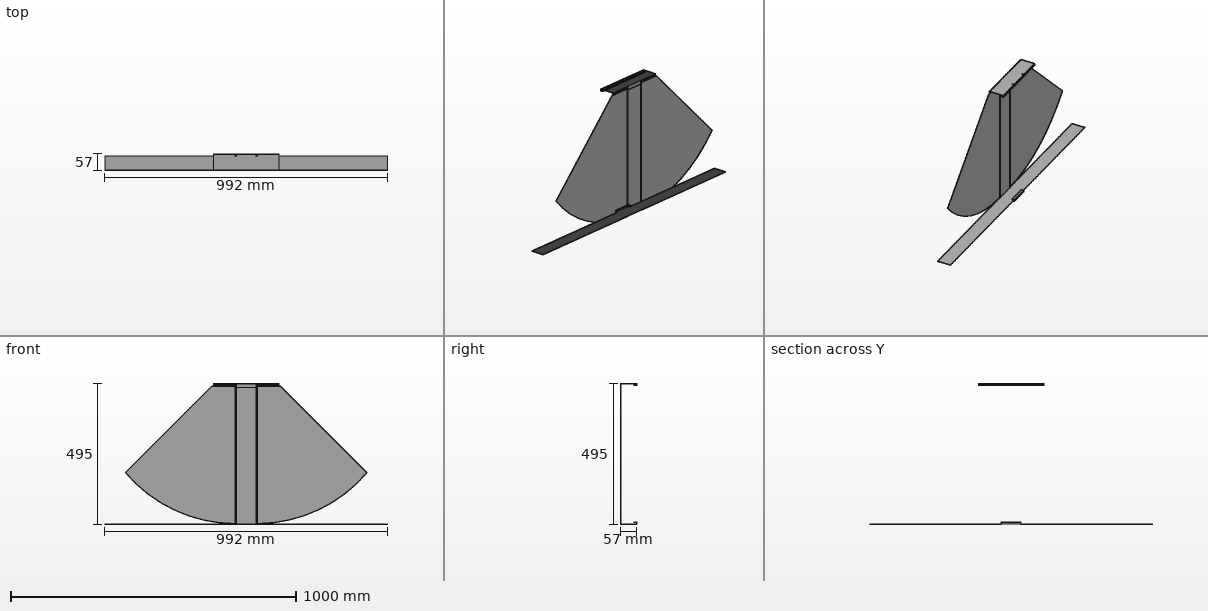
import cadquery as cq
import math

height = 495.0
sheet = 1.7
bend_radius = 2.3
depth = 57.0

hook_height = 8.0
hook_return = 10.0
rim_notch_depth = 7.0

top_flange_width = 231.0
skirt_height = 6.0
slot_height = 4.0
fan_top = height - skirt_height - slot_height
fan_bottom = 2.2
fan_radius = 505.0
fan_half_width = 424.0
side_angle = 45.0
bridge_width = 4.0

strip_width = 70.0
slit_width = 3.0
strip_top = 480.0
base_length = 992.0
base_depth = 51.0

slit_outer = strip_width / 2 + slit_width
bridge_outer = slit_outer + bridge_width


def block(x_min, x_max, y_min, y_max, z_min, z_max):
    """A box given by its limits along each axis."""
    size = (x_max - x_min, y_max - y_min, z_max - z_min)
    return cq.Workplane("XY").box(*size, centered=False).translate((x_min, y_min, z_min))


def hooked_flange(width):
    """Flange on the floor with an upright rim at the back that returns forwards."""
    half = width / 2
    flange = block(-half, half, 0, depth, 0, sheet)
    rim = block(-half, half, depth - sheet, depth, 0, hook_height)
    lip = block(-half, half, depth - hook_return, depth, hook_height - sheet, hook_height)
    return flange.union(rim).union(lip)


def fan_half():
    """Right half of the fan, from the slit out to the sloping side."""
    arc_centre_z = fan_bottom + fan_radius
    corner_angle = math.asin((fan_half_width - slit_outer) / fan_radius)
    middle_angle = corner_angle / 2

    def arc_point(angle):
        return (
            slit_outer + fan_radius * math.sin(angle),
            arc_centre_z - fan_radius * math.cos(angle),
        )

    corner = arc_point(corner_angle)
    side_run = (fan_top - corner[1]) / math.tan(math.radians(side_angle))
    return (
        cq.Workplane("XZ")
        .moveTo(slit_outer, fan_top)
        .lineTo(corner[0] - side_run, fan_top)
        .lineTo(*corner)
        .threePointArc(arc_point(middle_angle), (slit_outer, fan_bottom))
        .close()
        .extrude(-sheet)
    )


def make_fan_panel():
    """Top flange with its hooked rim, skirt and tab, and the two halves of the fan."""
    half = top_flange_width / 2
    half_strip = strip_width / 2
    skirt_bottom = height - skirt_height
    panel = hooked_flange(top_flange_width).mirror("XY").translate((0, 0, height))
    panel = panel.union(block(-half, half, 0, sheet, skirt_bottom, height))
    panel = panel.union(block(-half_strip, half_strip, 0, sheet, strip_top, height))

    right_fan = fan_half()
    right_fan = right_fan.union(block(slit_outer, bridge_outer, 0, sheet, fan_top - sheet, height))
    right_fan = right_fan.union(block(slit_outer, bridge_outer, 0, sheet, sheet, fan_bottom + sheet))
    panel = panel.union(right_fan).union(right_fan.mirror("YZ"))

    panel = panel.edges("|X and >Z").fillet(bend_radius)
    slit = block(half_strip, slit_outer, 0, bend_radius, 0, height)
    notch = block(half_strip, slit_outer, depth - rim_notch_depth, depth, 0, height)
    for cut in (slit, notch):
        panel = panel.cut(cut).cut(cut.mirror("YZ"))
    return panel


def make_base():
    """Upright middle strip with its bent foot and hooked rim, and a long wing on either side."""
    half_strip = strip_width / 2
    base = hooked_flange(strip_width)
    base = base.union(block(-half_strip, half_strip, 0, sheet, 0, strip_top))
    base = base.edges("|X and <Z").fillet(bend_radius)
    wing = block(half_strip, base_length / 2, 0, base_depth, 0, sheet)
    return base.union(wing).union(wing.mirror("YZ"))


fan_panel = make_fan_panel()
base = make_base()

result = cq.Compound.makeCompound([fan_panel.val(), base.val()])